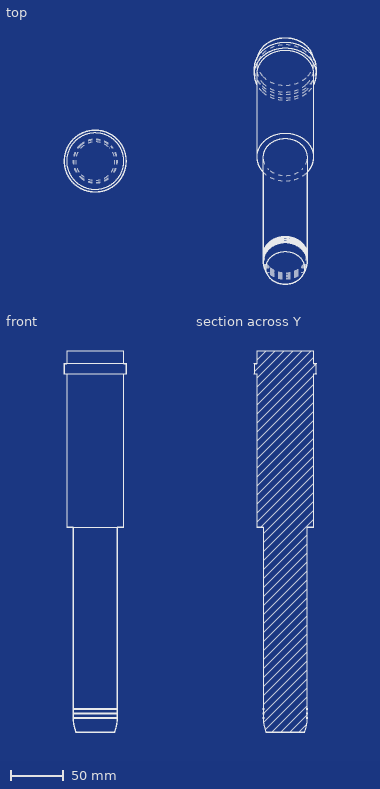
import cadquery as cq

total_length = 363.0
collar_diameter = 59.0
body_diameter = 54.0
shank_diameter = 42.0

head_length = 12.0
collar_length = 10.0
body_end_depth = 168.0

nose_height = 11.0
nose_end_diameter = 37.0
nose_bulge = 0.5

groove_count = 3
groove_width = 1.0
groove_depth = 0.7
groove_pitch = 4.5
lowest_groove_bottom = 13.0


def cylinder(diameter, bottom, top):
    """Solid cylinder on the Z axis between two heights."""
    return cq.Workplane("XY").workplane(offset=bottom).circle(diameter / 2).extrude(top - bottom)


def rounded_nose():
    """Nose whose side swells outwards from the end face to the shank."""
    end_radius = nose_end_diameter / 2
    shank_radius = shank_diameter / 2
    middle_radius = (end_radius + shank_radius) / 2 + nose_bulge
    return (
        cq.Workplane("XZ")
        .lineTo(end_radius, 0)
        .threePointArc((middle_radius, nose_height / 2), (shank_radius, nose_height))
        .lineTo(0, nose_height)
        .close()
        .revolve(360, (0, 0, 0), (0, 1, 0))
    )


def ring_groove(bottom):
    """Ring of material removed from the shank surface."""
    top = bottom + groove_width
    core = cylinder(shank_diameter - 2 * groove_depth, bottom, top)
    return cylinder(collar_diameter, bottom, top).cut(core)


body_bottom = total_length - body_end_depth
collar_top = total_length - head_length
shank = cylinder(shank_diameter, nose_height, body_bottom)
body = cylinder(body_diameter, body_bottom, total_length)
collar = cylinder(collar_diameter, collar_top - collar_length, collar_top)
pin = rounded_nose().union(shank).union(body).union(collar)

for index in range(groove_count):
    pin = pin.cut(ring_groove(lowest_groove_bottom + index * groove_pitch))

result = pin